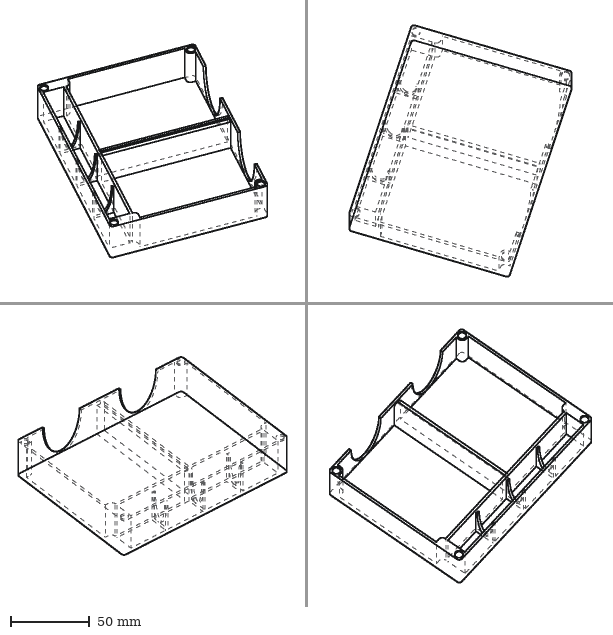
import cadquery as cq

length = 135.5
width = 107.0
height = 28.0
wall = 1.8
floor = 1.8
corner_radius = 2.0

boss_size = 7.3
boss_radius = 3.0
screw_diameter = 5.3
screw_inset = 3.7
screw_depth = 1.4

partition_front = 15.6
partition_back = 17.5
end_block_back = 20.6

rib_centers = (37.0, 68.0, 98.5)
rib_thickness = 2.0
rib_height = 24.3
saddle_half_width = 5.8
saddle_depth = 20.3

divider_left = 65.0
divider_right = 68.3
divider_height = 26.7
divider_round = 2.8
ledge_right = 71.0
ledge_height = 25.2

opening_centers = (36.3, 99.2)
opening_width = 30.4
opening_depth = height - floor


def block(x0, x1, y0, y1, z0, z1):
    """Box given by its limits along each axis."""
    return cq.Workplane("XY").box(x1 - x0, y1 - y0, z1 - z0, centered=False).translate((x0, y0, z0))


def make_shell():
    outer = block(0, length, 0, width, 0, height).edges("|Z").fillet(corner_radius)
    return outer.cut(block(wall, length - wall, wall, width - wall, floor, height))


def add_corner_blocks(body):
    """Rear bosses and front end blocks, each with one rounded inner edge."""
    for y0, y1, rounded in (
        (width - boss_size, width - wall, "<Y"),
        (wall, end_block_back, ">Y"),
    ):
        left = block(wall, boss_size, y0, y1, floor, height)
        left = left.edges("|Z").edges(">X").edges(rounded).fillet(boss_radius)
        body = body.union(left).union(left.mirror("YZ", (length / 2, 0, 0)))
    return body


def make_partition():
    return block(wall, length - wall, partition_front, partition_back, floor, height)


def make_divider():
    y0 = partition_back
    y1 = width - wall
    tall = block(divider_left, divider_right, y0, y1, floor, divider_height)
    tall = tall.edges("|Y").edges("<X").edges(">Z").fillet(divider_round)
    return tall.union(block(divider_right, ledge_right, y0, y1, floor, ledge_height))


def make_rib(center):
    half = rib_thickness / 2
    rib = block(center - half, center + half, wall, partition_front, floor, rib_height)
    saddle = (
        cq.Workplane("YZ", origin=(center - half, 0, 0))
        .center((wall + partition_front) / 2, rib_height)
        .ellipse(saddle_half_width, saddle_depth)
        .extrude(rib_thickness)
    )
    return rib.cut(saddle)


def make_opening(center):
    """Half ellipse hanging down from the rim through the back wall."""
    return (
        cq.Workplane("XZ", origin=(center, width, height))
        .ellipse(opening_width / 2, opening_depth)
        .extrude(wall)
    )


def make_screw_holes():
    return (
        cq.Workplane("XY", origin=(length / 2, width / 2, height))
        .rect(length - 2 * screw_inset, width - 2 * screw_inset, forConstruction=True)
        .vertices()
        .circle(screw_diameter / 2)
        .extrude(-screw_depth)
    )


result = add_corner_blocks(make_shell())
result = result.union(make_partition()).union(make_divider())
for rib_center in rib_centers:
    result = result.union(make_rib(rib_center))
for opening_center in opening_centers:
    result = result.cut(make_opening(opening_center))
result = result.cut(make_screw_holes())